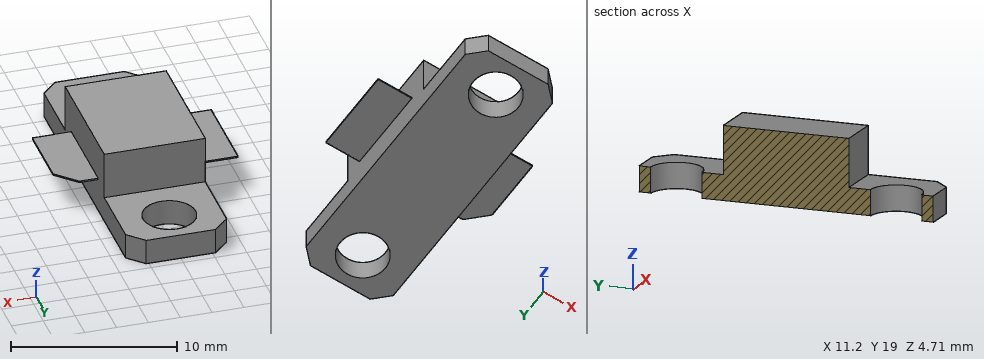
import cadquery as cq

flange_width = 6.35
flange_length = 19.0
flange_thickness = 1.65
flange_corner_chamfer = 1.0
hole_diameter = 3.3
hole_spacing = 14.2

body_length = 8.13
overall_height = 4.71
body_height = overall_height - flange_thickness

lead_span = 11.25
lead_width = 5.59
lead_thickness = 0.1
lead_bottom = 2.18
lead_corner_clip = 1.27


def block(x_size, y_size, z_bottom, height):
    """Box centred on X and Y, standing on z_bottom."""
    return (
        cq.Workplane("XY")
        .workplane(offset=z_bottom)
        .rect(x_size, y_size)
        .extrude(height)
    )


def make_flange():
    """Mounting plate with four clipped corners and two through holes."""
    plate = block(flange_width, flange_length, 0, flange_thickness)
    plate = plate.edges("|Z").chamfer(flange_corner_chamfer)
    hole_centers = [(0, -hole_spacing / 2), (0, hole_spacing / 2)]
    return plate.faces(">Z").workplane().pushPoints(hole_centers).hole(hole_diameter)


def make_body():
    """Rectangular package body, flush with the flange sides."""
    return block(flange_width, body_length, flange_thickness, body_height)


def make_leads():
    """Flat lead strip sticking out on both X sides of the body."""
    strip = block(lead_span, lead_width, lead_bottom, lead_thickness)
    return strip.edges("|Z and >X and >Y").chamfer(lead_corner_clip)


result = make_flange().union(make_body()).union(make_leads())